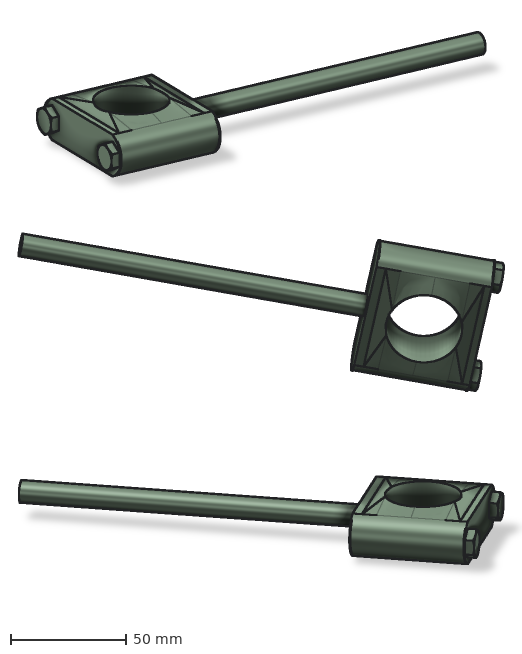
import cadquery as cq
import math

bolt_spacing = 49.5
clamp_height = 19.5
end_plate_width = 63.1
body_width = 62.3
back_y = 26.0
front_y = -25.1
end_plate_height = 18.7
plate_thickness = 0.5

bore_radius = 16.6
collar_height = 24.0
collar_half_length = 21.8
rim_half_length = 15.4

head_flats = 11.5
head_height = 4.2
head_bevel_angle = 30.0
rod_diameter = 10.0
overall_length = 207.7

half_spacing = bolt_spacing / 2
half_height = clamp_height / 2
rim_z = collar_height / 2
head_tip_y = front_y - head_height
rod_length = overall_length + head_tip_y - back_y


def flat_bar(width, height, start_y, end_y):
    """Bar along Y: flat top and bottom between bolt axes, arc-shaped sides."""
    return (
        cq.Workplane("XZ", origin=(0, start_y, 0))
        .moveTo(-half_spacing, height / 2)
        .lineTo(half_spacing, height / 2)
        .threePointArc((width / 2, 0), (half_spacing, -height / 2))
        .lineTo(-half_spacing, -height / 2)
        .threePointArc((-width / 2, 0), (-half_spacing, height / 2))
        .close()
        .extrude(start_y - end_y)
    )


def polygon_face(points):
    wire = cq.Wire.makePolygon([cq.Vector(*point) for point in points], close=True)
    return cq.Face.makeFromWires(wire)


def raised_collar():
    """Ruled transition from a rectangle on the flat top to the bore's rim."""
    rim_corner_x = math.sqrt(bore_radius**2 - rim_half_length**2)
    mid_angle = math.atan2(rim_half_length, rim_corner_x) / 2
    mid_x = bore_radius * math.cos(mid_angle)
    mid_y = bore_radius * math.sin(mid_angle)
    faces = []
    rim_edges = []

    for side_x in (-1, 1):
        for side_y in (-1, 1):
            base_middle = cq.Vector(side_x * half_spacing, 0, half_height)
            base_end = cq.Vector(side_x * half_spacing, side_y * rim_half_length, half_height)
            base_corner = cq.Vector(side_x * half_spacing, side_y * collar_half_length, half_height)
            rim_middle = cq.Vector(side_x * bore_radius, 0, rim_z)
            rim_between = cq.Vector(side_x * mid_x, side_y * mid_y, rim_z)
            rim_corner = cq.Vector(side_x * rim_corner_x, side_y * rim_half_length, rim_z)

            base_edge = cq.Edge.makeLine(base_middle, base_end)
            rim_arc = cq.Edge.makeThreePointArc(rim_middle, rim_between, rim_corner)
            faces.append(cq.Face.makeRuledSurface(base_edge, rim_arc))
            rim_edges.append(rim_arc)
            corner_points = (base_end, base_corner, rim_corner)
            faces.append(polygon_face([point.toTuple() for point in corner_points]))

    for side_y in (-1, 1):
        base_y = side_y * collar_half_length
        rim_y = side_y * rim_half_length
        rim_left = (-rim_corner_x, rim_y, rim_z)
        rim_right = (rim_corner_x, rim_y, rim_z)
        base_left = (-half_spacing, base_y, half_height)
        base_right = (half_spacing, base_y, half_height)
        faces.append(polygon_face([base_left, base_right, rim_right, rim_left]))
        rim_edges.append(cq.Edge.makeLine(cq.Vector(*rim_left), cq.Vector(*rim_right)))

    faces.append(cq.Face.makeFromWires(cq.Wire.combine(rim_edges)[0]))
    base_outline = [
        (side_x * half_spacing, side_x * side_y * collar_half_length, half_height)
        for side_x in (-1, 1)
        for side_y in (-1, 1)
    ]
    faces.append(polygon_face(base_outline))
    return cq.Workplane(cq.Solid.makeSolid(cq.Shell.makeShell(faces)).fix())


def bolt_heads():
    """Hexagon heads, corners up and down, beveled to a round face at the tip."""
    corner_radius = head_flats / math.sqrt(3)
    corner_angles = [math.radians(30 + 60 * corner) for corner in range(6)]
    corners = [
        (corner_radius * math.cos(angle), corner_radius * math.sin(angle))
        for angle in corner_angles
    ]
    hexagon = cq.Workplane("XZ").polyline(corners).close().extrude(head_height)
    bevel_width = corner_radius - head_flats / 2
    bevel_depth = bevel_width * math.tan(math.radians(head_bevel_angle))
    envelope = (
        cq.Workplane("XZ")
        .circle(corner_radius)
        .extrude(head_height)
        .faces("<Y")
        .chamfer(bevel_depth, bevel_width)
    )
    head = hexagon.intersect(envelope).translate((0, front_y, 0))
    return head.translate((-half_spacing, 0, 0)).union(head.translate((half_spacing, 0, 0)))


end_plate_size = (end_plate_width, end_plate_height)
body = flat_bar(body_width, clamp_height, front_y, back_y)
body = body.union(flat_bar(*end_plate_size, front_y, front_y + plate_thickness))
body = body.union(flat_bar(*end_plate_size, back_y - plate_thickness, back_y))

collar = raised_collar()
body = body.union(collar).union(collar.mirror("XY"))
bore = cq.Workplane("XY", origin=(0, 0, -rim_z)).circle(bore_radius).extrude(collar_height)
body = body.cut(bore)

rod = cq.Workplane("XZ", origin=(0, back_y, 0)).circle(rod_diameter / 2).extrude(-rod_length)
result = body.union(rod).union(bolt_heads())